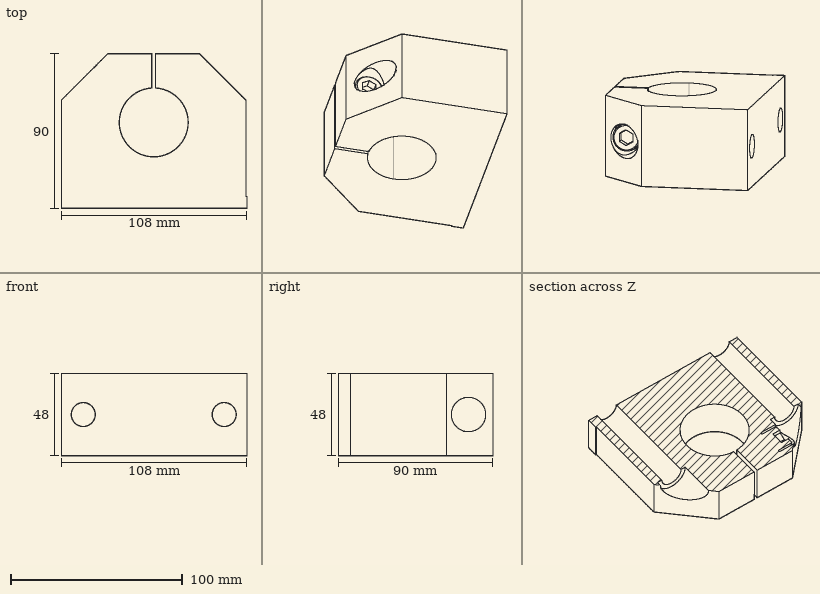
import cadquery as cq
import math

body_width = 107.5
depth = 90.0
height = 48.0
corner_cut = 27.0
mid_x = body_width / 2
mid_z = height / 2

lip_projection = 0.5
lip_depth = 7.0

bore_diameter = 40.0
bore_y = 50.0
slot_width = 2.0

mount_spacing = 82.0
mount_diameter = 13.8
mount_counterbore_diameter = 20.0
mount_counterbore_depth = corner_cut

screw_y = depth - 13.1
recess_diameter = 18.0
head_diameter = 16.0
head_height = 10.0
head_chamfer = 0.8
head_top_x = 23.2
recess_floor_x = head_top_x + head_height
socket_across_flats = 8.0
socket_depth = 5.0


def rod_x(diameter, start_x, end_x):
    """Cylinder along X on the axis of the clamp screw."""
    plane = cq.Workplane("YZ", origin=(start_x, screw_y, mid_z))
    return plane.circle(diameter / 2).extrude(end_x - start_x)


def rod_y(diameter, x, start_y, end_y):
    """Cylinder along Y at mid height."""
    plane = cq.Workplane("XZ", origin=(x, start_y, mid_z))
    return plane.circle(diameter / 2).extrude(start_y - end_y)


def make_block():
    outline = [
        (0, 0),
        (body_width + lip_projection, 0),
        (body_width + lip_projection, lip_depth),
        (body_width, lip_depth),
        (body_width, depth - corner_cut),
        (body_width - corner_cut, depth),
        (corner_cut, depth),
        (0, depth - corner_cut),
    ]
    return cq.Workplane("XY").polyline(outline).close().extrude(height)


def make_clamp_opening():
    bore = cq.Workplane("XY").center(mid_x, bore_y).circle(bore_diameter / 2).extrude(height)
    slot_length = depth - bore_y
    slot = (
        cq.Workplane("XY")
        .center(mid_x, bore_y + slot_length / 2)
        .rect(slot_width, slot_length)
        .extrude(height)
    )
    return bore.union(slot)


def make_mount_hole(x):
    hole = rod_y(mount_diameter, x, 0, depth)
    counterbore = rod_y(mount_counterbore_diameter, x, depth - mount_counterbore_depth, depth)
    return hole.union(counterbore)


def make_screw_head():
    head = rod_x(head_diameter, head_top_x, recess_floor_x).faces("<X").chamfer(head_chamfer)
    across_corners = socket_across_flats / math.cos(math.pi / 6)
    socket = (
        cq.Workplane("YZ", origin=(head_top_x, screw_y, mid_z))
        .transformed(rotate=(0, 0, 90))
        .polygon(6, across_corners)
        .extrude(socket_depth)
    )
    return head.cut(socket)


result = make_block().cut(make_clamp_opening())
for side in (-1, 1):
    result = result.cut(make_mount_hole(mid_x + side * mount_spacing / 2))
result = result.cut(rod_x(recess_diameter, 0, recess_floor_x)).union(make_screw_head())